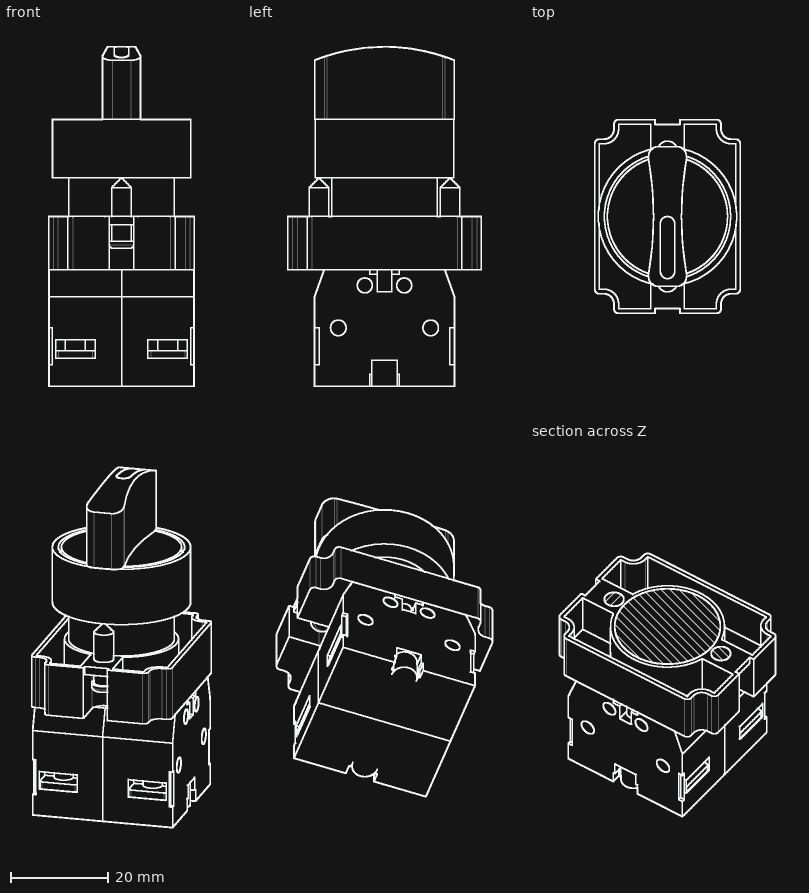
import cadquery as cq
import math


BLOCK_TOP = 24.0
HOUSING_TOP = 35.0
HEAD_UNDERSIDE = 43.0
HEAD_TOP = 55.0
KNOB_PEAK = 70.0
KNOB_END_HEIGHT = 67.2

HOUSING_X = 30.0
HOUSING_Y = 40.0
END_X = 22.1
SIDE_Y = 31.9
WALL = 1.0
INNER_CORNER_R = 2.0
OUTER_CORNER_R = 1.0
FLOOR_THICKNESS = 1.75
BOSS_R = 11.75
BRIDGE_WIDTH = 6.85
BRIDGE_THICKNESS = 1.75

SCREW_Y = 13.5
SCREW_R = 2.0
SCREW_HEAD_R = 2.5
SCREW_HEAD_ROUND = 0.8
SCREW_HEAD_BOTTOM = 28.4
SCREW_HEAD_HEIGHT = 1.5
CHANNEL_WIDTH = 5.1

HEAD_R = 14.3
NECK_R = 10.9
CUP_R = 13.0
CUP_DEPTH = 2.0

DISC_R = 12.4
GRIP_LENGTH = 28.85
GRIP_END_X = 7.85
GRIP_WAIST_X = 5.75
GRIP_CORNER_R = 2.0
GRIP_SIDE_ARC_Y = 23.8
MARK_WIDTH = 2.95
MARK_LENGTH = 12.8
MARK_DEPTH = 0.1

BLOCK_X = 15.0
BLOCK_Y = 28.9
BLOCK_TOP_Y = 24.9
SHOULDER_HEIGHT = 18.4

CORNER_NOTCH_X = 0.7
CORNER_NOTCH_Y = 1.0
CORNER_NOTCH_BOTTOM = 4.5
CORNER_NOTCH_TOP = 12.1

WINDOW_OFFSET = 9.5
WINDOW_WIDTH = 8.1
WINDOW_BOTTOM = 5.8
WINDOW_TOP = 9.6
PLATE_TOP = 7.35
PLATE_SETBACK = 0.15
PLATE_CORNER_R = 0.55
TERMINAL_SCREW_R = 2.0
WINDOW_DEPTH = 4.4

POST_SETBACK = 3.0
UPPER_POST_R = 1.5
UPPER_POST_BOTTOM = 19.45
LOWER_POST_R = 2.65
LOWER_POST_TOP = 5.4
RECESS_WIDTH = 6.15
RECESS_DEPTH = 1.95
UPPER_RECESS_HEIGHT = 0.9
LOWER_RECESS_HEIGHT = 2.5

RIVET_DEPTH = 0.1
UPPER_RIVET_R = 1.55
UPPER_RIVET_Y = 4.05
UPPER_RIVET_Z = 20.8
LOWER_RIVET_R = 1.6
LOWER_RIVET_Y = 9.5
LOWER_RIVET_Z = 12.05


def box(x_range, y_range, z_range):
    """Box between the given limits along each axis."""
    size = [high - low for low, high in (x_range, y_range, z_range)]
    corner = (x_range[0], y_range[0], z_range[0])
    return cq.Workplane("XY").box(*size, centered=False).translate(corner)


def upright_cylinder(radius, z_range, x=0, y=0):
    """Cylinder along Z between two heights."""
    bottom, top = z_range
    return cq.Workplane("XY", origin=(x, y, bottom)).circle(radius).extrude(top - bottom)


def corner_notched_prism(inset, z_range):
    """Housing outline, moved inwards by inset, as a prism with rounded notches."""
    bottom, top = z_range
    end_x = END_X - 2 * inset
    side_y = SIDE_Y - 2 * inset
    base = cq.Workplane("XY", origin=(0, 0, bottom))
    across = base.rect(HOUSING_X - 2 * inset, side_y).extrude(top - bottom)
    along = base.rect(end_x, HOUSING_Y - 2 * inset).extrude(top - bottom)
    prism = across.union(along)

    def is_concave(edge):
        centre = edge.Center()
        return math.isclose(abs(centre.x), end_x / 2) and math.isclose(abs(centre.y), side_y / 2)

    outer_r = OUTER_CORNER_R - inset
    if outer_r > 0:
        prism = prism.edges("|Z").filter(lambda edge: not is_concave(edge)).fillet(outer_r)
    return prism.edges("|Z").filter(is_concave).fillet(INNER_CORNER_R + inset)


def screw_channel(side):
    """Round-ended channel, open below and at the end face, for one screw."""
    half_width = CHANNEL_WIDTH / 2
    end = side * HOUSING_Y / 2
    channel_z = (BLOCK_TOP, HOUSING_TOP - BRIDGE_THICKNESS)
    round_end = upright_cylinder(half_width, channel_z, y=side * SCREW_Y)
    straight = box((-half_width, half_width), sorted((side * SCREW_Y, end)), channel_z)
    gap_in_wall = box(
        (-half_width, half_width),
        sorted((end - side * WALL, end)),
        (BLOCK_TOP, HOUSING_TOP),
    )
    return round_end.union(straight).union(gap_in_wall)


def make_housing():
    height = (BLOCK_TOP, HOUSING_TOP)
    pocket_z = (BLOCK_TOP + FLOOR_THICKNESS, HOUSING_TOP)
    bridge = box(
        (-BRIDGE_WIDTH / 2, BRIDGE_WIDTH / 2),
        (-HOUSING_Y / 2, HOUSING_Y / 2),
        pocket_z,
    )
    pockets = corner_notched_prism(WALL, pocket_z)
    pockets = pockets.cut(upright_cylinder(BOSS_R, pocket_z)).cut(bridge)

    housing = corner_notched_prism(0, height).cut(pockets)
    housing = housing.cut(upright_cylinder(NECK_R, height))
    for side in (-1, 1):
        housing = housing.cut(screw_channel(side))
        housing = housing.cut(upright_cylinder(SCREW_R, height, y=side * SCREW_Y))
    return housing


def make_clamping_screw(side):
    """Pointed screw with a round-edged head at its lower end."""
    head_top = SCREW_HEAD_BOTTOM + SCREW_HEAD_HEIGHT
    cone_base = HEAD_UNDERSIDE - SCREW_R
    round_center = (SCREW_HEAD_R - SCREW_HEAD_ROUND, SCREW_HEAD_BOTTOM + SCREW_HEAD_ROUND)
    round_middle = (
        round_center[0] + SCREW_HEAD_ROUND * math.sqrt(0.5),
        round_center[1] - SCREW_HEAD_ROUND * math.sqrt(0.5),
    )
    half_section = (
        cq.Workplane("XZ")
        .moveTo(0, SCREW_HEAD_BOTTOM)
        .lineTo(round_center[0], SCREW_HEAD_BOTTOM)
        .threePointArc(round_middle, (SCREW_HEAD_R, round_center[1]))
        .lineTo(SCREW_HEAD_R, head_top)
        .lineTo(SCREW_R, head_top)
        .lineTo(SCREW_R, cone_base)
        .lineTo(0, HEAD_UNDERSIDE)
        .close()
    )
    return half_section.revolve(360, (0, 0, 0), (0, 1, 0)).translate((0, side * SCREW_Y, 0))


def make_head():
    """Round panel head with a neck below and a cup for the knob on top."""
    rim = upright_cylinder(HEAD_R, (HEAD_UNDERSIDE, HEAD_TOP))
    neck = upright_cylinder(NECK_R, (BLOCK_TOP, HEAD_UNDERSIDE))
    cup = upright_cylinder(CUP_R, (HEAD_TOP - CUP_DEPTH, HEAD_TOP))
    return rim.union(neck).cut(cup)


def crown_cylinder(depth_below_surface):
    """Cylinder along X whose upper side is the arched top of the grip."""
    sag = KNOB_PEAK - KNOB_END_HEIGHT
    radius = ((GRIP_LENGTH / 2) ** 2 + sag ** 2) / (2 * sag)
    return (
        cq.Workplane("YZ", origin=(-GRIP_END_X, 0, 0))
        .center(0, KNOB_PEAK - radius)
        .circle(radius - depth_below_surface)
        .extrude(2 * GRIP_END_X)
    )


def make_knob():
    """Disc in the cup carrying a waisted grip with an arched top and a pointer mark."""
    half_x = GRIP_END_X / 2
    half_y = GRIP_LENGTH / 2
    arc_y = GRIP_SIDE_ARC_Y / 2
    grip = (
        cq.Workplane("XY", origin=(0, 0, HEAD_TOP))
        .moveTo(-half_x, -half_y)
        .lineTo(half_x, -half_y)
        .lineTo(half_x, -arc_y)
        .threePointArc((GRIP_WAIST_X / 2, 0), (half_x, arc_y))
        .lineTo(half_x, half_y)
        .lineTo(-half_x, half_y)
        .lineTo(-half_x, arc_y)
        .threePointArc((-GRIP_WAIST_X / 2, 0), (-half_x, -arc_y))
        .close()
        .extrude(KNOB_PEAK - HEAD_TOP)
    )
    grip_corners = grip.edges("|Z").filter(lambda edge: math.isclose(abs(edge.Center().y), half_y))
    grip = grip_corners.fillet(GRIP_CORNER_R)
    grip = grip.intersect(crown_cylinder(0))

    mark = (
        cq.Workplane("XY", origin=(0, -MARK_LENGTH / 2, HEAD_TOP))
        .slot2D(MARK_LENGTH, MARK_WIDTH, 90)
        .extrude(KNOB_PEAK - HEAD_TOP)
        .cut(crown_cylinder(MARK_DEPTH))
    )
    disc = upright_cylinder(DISC_R, (HEAD_TOP - CUP_DEPTH, HEAD_TOP))
    return disc.union(grip.cut(mark))


def terminal_window():
    """Opening in the -Y face that leaves a clamp plate and half a terminal screw."""
    face = -BLOCK_Y / 2
    window_x = (-WINDOW_OFFSET - WINDOW_WIDTH / 2, -WINDOW_OFFSET + WINDOW_WIDTH / 2)
    back = face + WINDOW_DEPTH
    plate = box(window_x, (face + PLATE_SETBACK, back), (WINDOW_BOTTOM, PLATE_TOP))
    plate = plate.edges("|Z and <Y").fillet(PLATE_CORNER_R)
    screw = upright_cylinder(TERMINAL_SCREW_R, (PLATE_TOP, WINDOW_TOP), -WINDOW_OFFSET, back)
    return box(window_x, (face, back), (WINDOW_BOTTOM, WINDOW_TOP)).cut(plate).cut(screw)


def post_slot(radius, slot_z, recess_z):
    """Slot in the -X face with a round post standing in it and a wider recess across it."""
    axis_x = -BLOCK_X + POST_SETBACK
    slot = box((-BLOCK_X, axis_x), (-radius, radius), slot_z)
    recess = box(
        (-BLOCK_X, -BLOCK_X + RECESS_DEPTH),
        (-RECESS_WIDTH / 2, RECESS_WIDTH / 2),
        recess_z,
    )
    return slot.union(recess).cut(upright_cylinder(radius, slot_z, axis_x))


def rivet_marks(radius, y, z):
    """Pair of shallow round marks in the -X face."""
    return (
        cq.Workplane("YZ", origin=(-BLOCK_X, 0, 0))
        .pushPoints([(-y, z), (y, z)])
        .circle(radius)
        .extrude(RIVET_DEPTH)
    )


def corner_notch():
    """Notch in the vertical edge between the -X and -Y faces."""
    return box(
        (-BLOCK_X, -BLOCK_X + CORNER_NOTCH_X),
        (-BLOCK_Y / 2, -BLOCK_Y / 2 + CORNER_NOTCH_Y),
        (CORNER_NOTCH_BOTTOM, CORNER_NOTCH_TOP),
    )


def make_contact_block(side):
    """Contact block on the -X (side = -1) or +X (side = 1) half; the two are mirror images."""
    half_y = BLOCK_Y / 2
    half_top = BLOCK_TOP_Y / 2
    block = (
        cq.Workplane("YZ", origin=(-BLOCK_X, 0, 0))
        .polyline([
            (-half_y, 0),
            (half_y, 0),
            (half_y, SHOULDER_HEIGHT),
            (half_top, BLOCK_TOP),
            (-half_top, BLOCK_TOP),
            (-half_y, SHOULDER_HEIGHT),
        ])
        .close()
        .extrude(BLOCK_X)
    )
    for end_feature in (terminal_window(), corner_notch()):
        block = block.cut(end_feature).cut(end_feature.mirror("XZ"))

    block = block.cut(post_slot(
        UPPER_POST_R,
        (UPPER_POST_BOTTOM, BLOCK_TOP),
        (BLOCK_TOP - UPPER_RECESS_HEIGHT, BLOCK_TOP),
    ))
    block = block.cut(post_slot(LOWER_POST_R, (0, LOWER_POST_TOP), (0, LOWER_RECESS_HEIGHT)))
    block = block.cut(rivet_marks(UPPER_RIVET_R, UPPER_RIVET_Y, UPPER_RIVET_Z))
    block = block.cut(rivet_marks(LOWER_RIVET_R, LOWER_RIVET_Y, LOWER_RIVET_Z))
    return block if side < 0 else block.mirror("YZ")


housing = make_housing()
head = make_head()
knob = make_knob()
clamping_screws = [make_clamping_screw(side) for side in (-1, 1)]
contact_blocks = [make_contact_block(side) for side in (-1, 1)]

result = cq.Compound.makeCompound([
    housing.val(),
    head.val(),
    knob.val(),
    *[screw.val() for screw in clamping_screws],
    *[block.val() for block in contact_blocks],
])